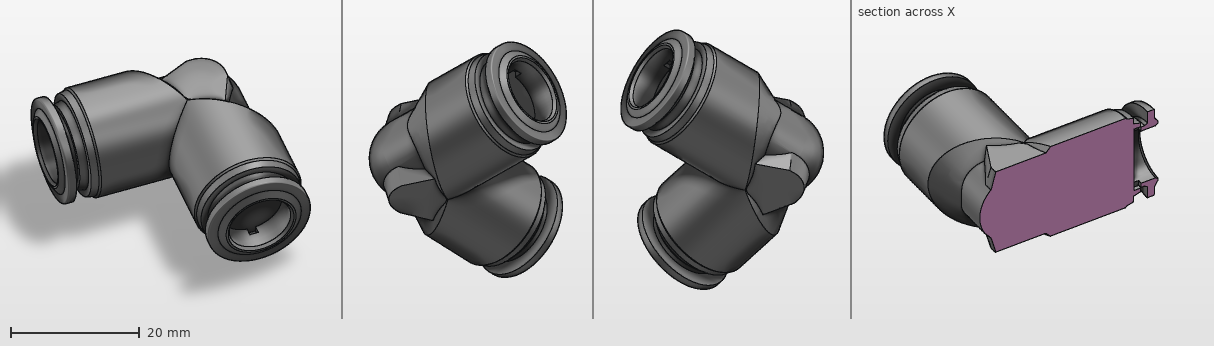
import cadquery as cq
import math

ARM_LENGTH = 26.0
BODY_RADIUS = 8.85
ELBOW_RADIUS = 6.5

SHOULDER_OFFSET = 6.38
SHOULDER_TILT = 30.0
SHOULDER_DRAFT = 51.0
SHOULDER_DEPTH = 4.53

BODY_END = 20.05
CHAMFER_END = 20.35
CHAMFER_RADIUS = 8.57
COLLAR_END = 21.55
COLLAR_RADIUS = 8.3
STEP_END = 22.85
STEP_BASE_RADIUS = 7.18
STEP_TIP_RADIUS = 6.8

NECK_RADIUS = 6.0
NECK_END = 23.5
FLANGE_START = 24.0
FLANGE_END = 25.35
FLANGE_RADIUS = 8.5
FLANGE_ROUND = 0.28
NECK_FLARE_RADIUS = 6.3
MOUTH_CONE_RADIUS = 6.9
MOUTH_TIP_RADIUS = 5.8

BORE_RADIUS = 5.1
LIP_RADIUS = 5.45
LIP_DEPTH = 0.52
BORE_FLOOR = 21.65
SLOT_WIDTH = 1.4
SLOT_LENGTH = 1.22
SLOT_DEPTH = 0.9

PAD_HEIGHT = 7.95
PAD_DRAFT = 15.0
PAD_CENTER = 0.4
PAD_RADIUS = 4.0
PAD_FLAT_END = 1.32
PAD_WING_X = 6.97
PAD_WING_Y = 1.08
PAD_TIP = 3.9


def to_second_arm(shape):
    """Half turn about the diagonal X = -Y, which swaps the two arms."""
    return shape.rotate((0, 0, 0), (1, -1, 0), 180)


def shoulder_plane():
    """Oblique plane at the inner end of the body, facing the corner."""
    tilt = math.radians(SHOULDER_TILT)
    return cq.Workplane(cq.Plane(
        origin=(SHOULDER_OFFSET, 0, 0),
        xDir=(math.sin(tilt), math.cos(tilt), 0),
        normal=(-math.cos(tilt), math.sin(tilt), 0),
    ))


def arm_body():
    """Turned outside of the X arm, cut off at the shoulder plane."""
    turned = (
        cq.Workplane("XY")
        .moveTo(0, 0)
        .lineTo(0, BODY_RADIUS)
        .lineTo(BODY_END, BODY_RADIUS)
        .lineTo(CHAMFER_END, CHAMFER_RADIUS)
        .lineTo(COLLAR_END, COLLAR_RADIUS)
        .lineTo(COLLAR_END, STEP_BASE_RADIUS)
        .lineTo(STEP_END, STEP_TIP_RADIUS)
        .lineTo(STEP_END, NECK_RADIUS)
        .lineTo(NECK_END, NECK_RADIUS)
        .lineTo(FLANGE_START, NECK_FLARE_RADIUS)
        .lineTo(FLANGE_START, FLANGE_RADIUS)
        .lineTo(FLANGE_END - FLANGE_ROUND, FLANGE_RADIUS)
        .radiusArc((FLANGE_END, FLANGE_RADIUS - FLANGE_ROUND), FLANGE_ROUND)
        .lineTo(FLANGE_END, MOUTH_CONE_RADIUS)
        .lineTo(ARM_LENGTH, MOUTH_TIP_RADIUS)
        .lineTo(ARM_LENGTH, 0)
        .close()
        .revolve(360, (0, 0, 0), (1, 0, 0))
    )
    waste_size = 4 * BODY_RADIUS
    waste = shoulder_plane().rect(waste_size, waste_size).extrude(waste_size)
    return turned.cut(waste)


def shoulder():
    """Drafted transition whose base is the oblique section of the body."""
    long_radius = BODY_RADIUS / math.cos(math.radians(SHOULDER_TILT))
    return (
        shoulder_plane()
        .ellipse(long_radius, BODY_RADIUS)
        .extrude(SHOULDER_DEPTH, taper=SHOULDER_DRAFT)
    )


def elbow_tube():
    """Tube from the corner into the X arm."""
    tube_length = SHOULDER_OFFSET + BODY_RADIUS * math.tan(math.radians(SHOULDER_TILT))
    return cq.Workplane("YZ").circle(ELBOW_RADIUS).extrude(tube_length)


def arm_bore():
    """Blind bore of the X arm, with slots above and below at its floor."""
    lip_start = ARM_LENGTH - LIP_DEPTH
    bore = (
        cq.Workplane("XY")
        .moveTo(BORE_FLOOR, 0)
        .lineTo(BORE_FLOOR, BORE_RADIUS)
        .lineTo(lip_start, BORE_RADIUS)
        .lineTo(ARM_LENGTH, LIP_RADIUS)
        .lineTo(ARM_LENGTH, 0)
        .close()
        .revolve(360, (0, 0, 0), (1, 0, 0))
    )
    slots = cq.Workplane("XY").box(
        SLOT_LENGTH, SLOT_WIDTH, 2 * (BORE_RADIUS + SLOT_DEPTH), centered=(False, True, True)
    ).translate((BORE_FLOOR, 0, 0))
    return bore.union(slots)


def pad():
    """Upper pad: outline at the flat top, widening downward to mid-height."""
    arc_offset = PAD_RADIUS * math.sqrt(0.5)
    side = PAD_RADIUS - PAD_CENTER
    return (
        cq.Workplane("XY", origin=(0, 0, PAD_HEIGHT))
        .moveTo(-side, -PAD_CENTER)
        .threePointArc((PAD_CENTER - arc_offset, arc_offset - PAD_CENTER), (PAD_CENTER, side))
        .lineTo(PAD_FLAT_END, side)
        .lineTo(PAD_WING_X, PAD_WING_Y)
        .lineTo(PAD_TIP, -PAD_TIP)
        .lineTo(-PAD_WING_Y, -PAD_WING_X)
        .lineTo(-side, -PAD_FLAT_END)
        .close()
        .extrude(-PAD_HEIGHT, taper=-PAD_DRAFT)
    )


result = cq.Workplane("XY").sphere(ELBOW_RADIUS)
for piece in (elbow_tube(), shoulder(), arm_body()):
    result = result.union(piece).union(to_second_arm(piece))

upper_pad = pad()
result = result.union(upper_pad).union(to_second_arm(upper_pad))

bore = arm_bore()
result = result.cut(bore).cut(to_second_arm(bore))